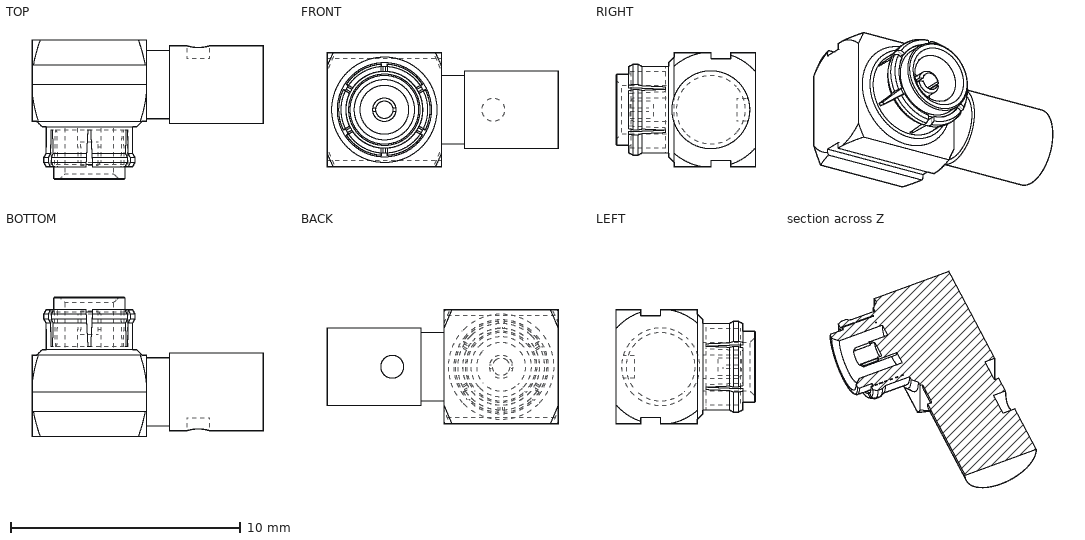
import cadquery as cq
import math


total_length = 10.1
total_depth = 6.11
body_size = 5.0
body_depth = 3.57
back_y = 1.96
half_body = body_size / 2
front_y = back_y - body_depth

trim_radius = 2.52
trim_axis_y = 0.05
trim_angle = 30.0

groove_width = 0.85
groove_depth = 0.27
groove_start = 1.1

neck_diameter = 3.0
neck_length = 1.0
ferrule_diameter = 3.4
ferrule_end_x = total_length - half_body
ferrule_start_x = half_body + neck_length
window_diameter = 1.0
window_depth = 0.57
window_x = 4.76

collar_diameter = 4.61
collar_length = 0.24
barrel_diameter = 3.79
bead_diameter = 3.99
bead_start = 1.39
bead_flat_start = 1.58
bead_flat_end = 1.79
bead_end = 1.98
spring_bore_diameter = 3.36
core_diameter = 3.35
recess_depth = 0.09
sleeve_diameter = 3.12
sleeve_chamfer = 0.06
sleeve_length = total_depth - body_depth
bore_diameter = 2.13
bore_chamfer = 0.25

slot_count = 6
slot_start = 0.38
slot_narrow_width = 0.12
slot_wide_width = 0.27

contact_diameter = 1.02
contact_bore = 0.76
contact_recess = 0.63
contact_slot_width = 0.14
contact_slot_depth = 0.81
contact_bore_depth = 1.01


def along_connector(profile):
    """Revolve (radius, distance from the front face) points about the Y axis."""
    points = [(radius, front_y - distance) for radius, distance in profile]
    return cq.Workplane("XY").polyline(points).close().revolve(360, (0, 0, 0), (0, 1, 0))


def connector_cylinder(diameter, start, end):
    plane = cq.Workplane("XZ", origin=(0, front_y - start, 0))
    return plane.circle(diameter / 2).extrude(end - start)


def cable_cylinder(diameter, start_x, end_x):
    plane = cq.Workplane("YZ", origin=(start_x, 0, 0))
    return plane.circle(diameter / 2).extrude(end_x - start_x)


def make_body():
    mid_y = (back_y + front_y) / 2
    body = cq.Workplane("XY").box(body_size, body_depth, body_size).translate((0, mid_y, 0))

    mid_radius = trim_radius + half_body / math.tan(math.radians(trim_angle))
    trim = (
        cq.Workplane("XY", origin=(0, trim_axis_y, 0))
        .polyline([
            (-half_body, 0),
            (-half_body, trim_radius),
            (0, mid_radius),
            (half_body, trim_radius),
            (half_body, 0),
        ])
        .close()
        .revolve(360, (0, 0, 0), (1, 0, 0))
    )
    body = body.intersect(trim)

    groove_y = back_y - groove_start - groove_width / 2
    groove = cq.Workplane("XY").box(body_size, groove_width, 2 * groove_depth)
    for side_z in (-half_body, half_body):
        body = body.cut(groove.translate((0, groove_y, side_z)))
    return body


def make_ferrule():
    neck = cable_cylinder(neck_diameter, 0, ferrule_start_x)
    ferrule = cable_cylinder(ferrule_diameter, ferrule_start_x, ferrule_end_x)
    window = (
        cq.Workplane("XZ", origin=(window_x, ferrule_diameter / 2, 0))
        .circle(window_diameter / 2)
        .extrude(window_depth)
    )
    return neck.union(ferrule.cut(window))


def make_shell():
    barrel_radius = barrel_diameter / 2
    bead_radius = bead_diameter / 2
    spring_bore_radius = spring_bore_diameter / 2
    core_radius = core_diameter / 2
    sleeve_radius = sleeve_diameter / 2
    collar_radius = collar_diameter / 2
    core_end = bead_end - recess_depth
    return along_connector([
        (0, 0),
        (collar_radius, 0),
        (collar_radius - collar_length, collar_length),
        (barrel_radius, collar_length),
        (barrel_radius, bead_start),
        (bead_radius, bead_flat_start),
        (bead_radius, bead_flat_end),
        (barrel_radius, bead_end),
        (spring_bore_radius, bead_end),
        (spring_bore_radius, slot_start),
        (core_radius, slot_start),
        (core_radius, core_end),
        (sleeve_radius, core_end),
        (sleeve_radius, sleeve_length - sleeve_chamfer),
        (sleeve_radius - sleeve_chamfer, sleeve_length),
        (0, sleeve_length),
    ])


def make_slots():
    """Tapered slots around the barrel, widening up to the front of the bead's flat."""
    narrow = slot_narrow_width / 2
    wide = slot_wide_width / 2
    slot = (
        cq.Workplane("XY")
        .polyline([
            (-narrow, front_y - slot_start),
            (-wide, front_y - bead_flat_end),
            (-wide, front_y - bead_end),
            (wide, front_y - bead_end),
            (wide, front_y - bead_flat_end),
            (narrow, front_y - slot_start),
        ])
        .close()
        .extrude(bead_diameter)
    )
    slots = cq.Workplane("XY")
    for index in range(slot_count):
        slots = slots.add(slot.rotate((0, 0, 0), (0, 1, 0), index * 360 / slot_count))
    core = connector_cylinder(core_diameter, 0, bead_end)
    return slots.combine().cut(core)


def make_bore():
    bore_radius = bore_diameter / 2
    return along_connector([
        (0, collar_length),
        (bore_radius, collar_length),
        (bore_radius, sleeve_length - bore_chamfer),
        (bore_radius + bore_chamfer, sleeve_length),
        (0, sleeve_length),
    ])


def make_contact():
    contact_radius = contact_diameter / 2
    bore_radius = contact_bore / 2
    tip = sleeve_length - contact_recess
    tip_chamfer = contact_radius - bore_radius
    contact = along_connector([
        (0, 0),
        (contact_radius, 0),
        (contact_radius, tip - tip_chamfer),
        (bore_radius, tip),
        (bore_radius, tip - contact_bore_depth),
        (0, tip - contact_bore_depth),
    ])
    slot = (
        cq.Workplane("XZ", origin=(0, front_y - tip, 0))
        .rect(contact_diameter, contact_slot_width)
        .extrude(-contact_slot_depth)
    )
    return contact.cut(slot)


shell = make_shell().cut(make_slots()).cut(make_bore())
result = make_body().union(make_ferrule()).union(shell).union(make_contact())